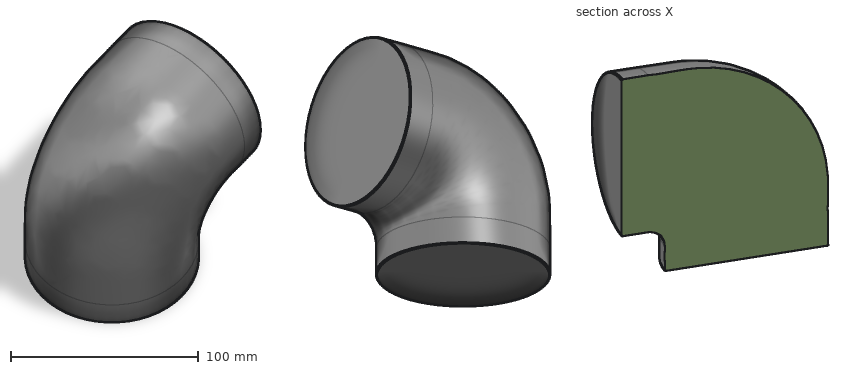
import cadquery as cq
import math

SIZE = 117.5
DIAMETER = 93.1
COLLAR = 15.0
OUTER_BEND = 81.1
EDGE_CHAMFER = 0.6
SECTIONS = 9

RADIUS = DIAMETER / 2
FAR = SIZE / 2
PIVOT_Y = FAR - COLLAR
PIVOT_Z = -FAR + COLLAR
INNER_BEND = SIZE - COLLAR - DIAMETER
OUTER_OFFSET = SIZE - COLLAR - OUTER_BEND


def outer_reach(angle):
    """Distance from the pivot to the outside of the bend."""
    small = min(math.cos(angle), math.sin(angle))
    large = max(math.cos(angle), math.sin(angle))
    straight_reach = (OUTER_OFFSET + OUTER_BEND) / large
    if straight_reach * small <= OUTER_OFFSET:
        return straight_reach
    along = OUTER_OFFSET * (small + large)
    return along + math.sqrt(along**2 - 2 * OUTER_OFFSET**2 + OUTER_BEND**2)


def bend_section(angle):
    """Elliptical wire spanning the inside and outside of the bend."""
    reach = outer_reach(angle)
    middle = (reach + INNER_BEND) / 2
    radial = cq.Vector(0, -math.cos(angle), math.sin(angle))
    normal = cq.Vector(0, math.sin(angle), math.cos(angle))
    centre = cq.Vector(0, PIVOT_Y, PIVOT_Z) + radial * middle
    plane = cq.Plane(origin=centre, xDir=radial, normal=normal)
    return cq.Workplane(plane).ellipse((reach - INNER_BEND) / 2, RADIUS).val()


def collar(plane_name, origin, end_face):
    """Straight collar running inward from its chamfered end face."""
    cylinder = cq.Workplane(plane_name, origin=origin).circle(RADIUS).extrude(COLLAR)
    return cylinder.faces(end_face).chamfer(EDGE_CHAMFER)


angles = [math.pi / 2 * i / (SECTIONS - 1) for i in range(SECTIONS)]
bend = cq.Workplane(cq.Solid.makeLoft([bend_section(angle) for angle in angles]))

bottom_collar = collar("XY", (0, RADIUS - FAR, -FAR), "<Z")
rear_collar = collar("XZ", (0, FAR, FAR - RADIUS), ">Y")

result = bend.union(bottom_collar).union(rear_collar)